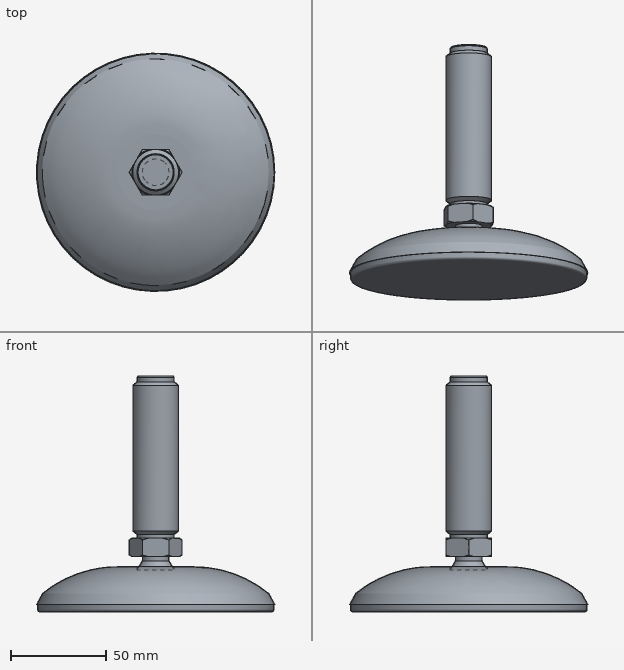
import cadquery as cq
import math

PAD_DIAMETER = 124.0
PAD_THICKNESS = 3.8
PAD_EDGE_RADIUS = 1.2

FOOT_DIAMETER = 125.0
FOOT_TOP_Z = 23.6
SEAT_DIAMETER = 40.0
SHOULDER_DIAMETER = 118.8
SHOULDER_Z = 9.5
SHOULDER_RADIUS = 0.6
SOCKET_DIAMETER = 19.5

STEM_DIAMETER = 14.0
STEM_BOTTOM_Z = 26.8
FLARE_HALF_ANGLE = 30.0
HEX_BOTTOM_Z = 28.9
HEX_HEIGHT = 9.8
HEX_ACROSS_FLATS = 24.0
HEX_END_DIAMETER = 25.0
HEX_CHAMFER_ANGLE = 35.0
SHANK_DIAMETER = 24.0
SHANK_BOTTOM_Z = 42.4
SHANK_TOP_Z = 118.8
SHANK_CHAMFER_HEIGHT = 1.9
NECK_DIAMETER = 19.5
TIP_DIAMETER = 18.4
TIP_CHAMFER_HEIGHT = 0.8
TOP_Z = 123.8

FLARE_HEIGHT = (SOCKET_DIAMETER - STEM_DIAMETER) / 2 / math.tan(math.radians(FLARE_HALF_ANGLE))
SOCKET_FLOOR_Z = STEM_BOTTOM_Z - FLARE_HEIGHT


def revolve_about_z(profile):
    """Revolve an XZ profile of radius and height once around the Z axis."""
    return profile.close().revolve(360, (0, 0, 0), (0, 1, 0))


def make_pad():
    """Flat disc with a rounded bottom edge."""
    disc = cq.Workplane("XY").circle(PAD_DIAMETER / 2).extrude(PAD_THICKNESS)
    return disc.faces("<Z").edges().fillet(PAD_EDGE_RADIUS)


def make_foot():
    """Dome tangent to the flat seat, with a conical skirt and a round socket in the seat."""
    seat_radius = SEAT_DIAMETER / 2
    shoulder_radius = SHOULDER_DIAMETER / 2

    run = shoulder_radius - seat_radius
    drop = FOOT_TOP_Z - SHOULDER_Z
    dome_radius = (run**2 + drop**2) / (2 * drop)

    half_angle = math.asin(run / dome_radius) / 2
    dome_middle = (
        seat_radius + dome_radius * math.sin(half_angle),
        FOOT_TOP_Z - dome_radius * (1 - math.cos(half_angle)),
    )

    profile = (
        cq.Workplane("XZ")
        .moveTo(0, PAD_THICKNESS)
        .lineTo(FOOT_DIAMETER / 2, PAD_THICKNESS)
        .lineTo(shoulder_radius, SHOULDER_Z)
        .threePointArc(dome_middle, (seat_radius, FOOT_TOP_Z))
        .lineTo(0, FOOT_TOP_Z)
    )
    foot = revolve_about_z(profile)
    foot = foot.faces("%CONE").edges(">Z").fillet(SHOULDER_RADIUS)

    socket = (
        cq.Workplane("XY", origin=(0, 0, SOCKET_FLOOR_Z))
        .circle(SOCKET_DIAMETER / 2)
        .extrude(FOOT_TOP_Z - SOCKET_FLOOR_Z)
    )
    return foot.cut(socket)


def make_hexagon():
    """Hexagon with corners on the X axis, chamfered conically at both ends."""
    corner_diameter = HEX_ACROSS_FLATS / math.cos(math.radians(30))
    prism = (
        cq.Workplane("XY", origin=(0, 0, HEX_BOTTOM_Z))
        .polygon(6, corner_diameter)
        .extrude(HEX_HEIGHT)
    )

    corner_radius = corner_diameter / 2
    end_radius = HEX_END_DIAMETER / 2
    chamfer_height = (corner_radius - end_radius) * math.tan(math.radians(HEX_CHAMFER_ANGLE))
    hex_top_z = HEX_BOTTOM_Z + HEX_HEIGHT
    envelope = revolve_about_z(
        cq.Workplane("XZ")
        .moveTo(0, HEX_BOTTOM_Z)
        .lineTo(end_radius, HEX_BOTTOM_Z)
        .lineTo(corner_radius, HEX_BOTTOM_Z + chamfer_height)
        .lineTo(corner_radius, hex_top_z - chamfer_height)
        .lineTo(end_radius, hex_top_z)
        .lineTo(0, hex_top_z)
    )
    return prism.intersect(envelope)


def make_spindle():
    """Turned spindle standing in the socket, in one piece with its hexagon."""
    stem_radius = STEM_DIAMETER / 2
    neck_radius = NECK_DIAMETER / 2
    shank_radius = SHANK_DIAMETER / 2
    hex_middle_z = HEX_BOTTOM_Z + HEX_HEIGHT / 2
    turned = revolve_about_z(
        cq.Workplane("XZ")
        .moveTo(0, SOCKET_FLOOR_Z)
        .lineTo(SOCKET_DIAMETER / 2, SOCKET_FLOOR_Z)
        .lineTo(stem_radius, STEM_BOTTOM_Z)
        .lineTo(stem_radius, hex_middle_z)
        .lineTo(neck_radius, hex_middle_z)
        .lineTo(neck_radius, SHANK_BOTTOM_Z - SHANK_CHAMFER_HEIGHT)
        .lineTo(shank_radius, SHANK_BOTTOM_Z)
        .lineTo(shank_radius, SHANK_TOP_Z)
        .lineTo(neck_radius, SHANK_TOP_Z + SHANK_CHAMFER_HEIGHT)
        .lineTo(neck_radius, TOP_Z - TIP_CHAMFER_HEIGHT)
        .lineTo(TIP_DIAMETER / 2, TOP_Z)
        .lineTo(0, TOP_Z)
    )
    return turned.union(make_hexagon())


pad = make_pad()
foot = make_foot()
spindle = make_spindle()

result = cq.Compound.makeCompound([pad.val(), foot.val(), spindle.val()])